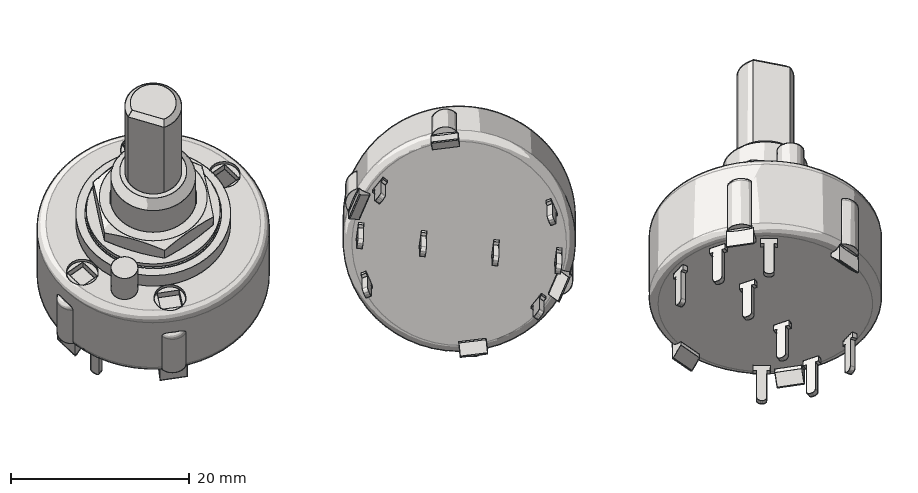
import cadquery as cq
import math

pin_shoulder_z = 4.32
body_bottom_z = 5.05
body_top_z = 15.6
flange_top_z = 17.6
washer_bottom_z = 17.68
washer_top_z = 18.2
nut_top_z = 20.6
bushing_top_z = 25.6
shaft_top_z = 38.6

body_diameter = 26.0
body_rim_radius = 1.0
cavity_diameter = body_diameter - 2 * body_rim_radius
cavity_floor_z = body_bottom_z + 1.0

flange_diameter = 17.35
flange_recess_diameter = 15.3
flange_recess_depth = 0.1
washer_diameter = 15.0
washer_seat_diameter = 10.25
nut_across_flats = 12.4
nut_bore_diameter = 9.73
nut_face_diameter = 12.1
nut_chamfer_height = 0.45
bushing_diameter = 9.5
bushing_chamfer = 1.0
shaft_diameter = 6.35
shaft_chamfer = 0.6
shaft_flat_distance = 2.35

peg_diameter = 3.0
peg_distance = 9.57
peg_top_z = 19.6

station_angles = (60, 120, 240, 300)
latch_distance = 10.42
latch_recess_diameter = 3.55
latch_recess_depth = 0.42
latch_slot_length = 2.28
latch_slot_width = 2.5
lid_thickness = 1.3
rib_distance = 11.93
rib_radius = 1.7
rib_bottom_z = 5.65
rib_top_z = 12.55
rib_rounding = 0.55
foot_face_distance = 12.78
foot_width = 3.1
foot_bottom_z = 3.35
foot_tip_thickness = 0.15
foot_thickness = 1.3
foot_slope_height = 1.2

outer_pin_angles = (15, 45, 75, 195, 225, 255)
outer_pin_circle_radius = 11.2
common_pin_angles = (45, 225)
common_pin_circle_radius = 4.1
pin_width = 1.15
pin_thickness = 0.6
pin_shoulder_width = 1.93
pin_tip_rounding = 0.45


def disc(diameter, bottom_z, top_z):
    return cq.Workplane("XY").workplane(offset=bottom_z).circle(diameter / 2).extrude(top_z - bottom_z)


def at_angle(shape, angle):
    """Turn a shape built on the +X axis about the shaft axis."""
    return shape.rotate((0, 0, 0), (0, 0, 1), angle)


def make_housing():
    drum = disc(body_diameter, body_bottom_z, body_top_z).edges().fillet(body_rim_radius)
    flange = disc(flange_diameter, body_top_z, flange_top_z)
    recess = disc(flange_recess_diameter, flange_top_z - flange_recess_depth, flange_top_z)
    peg = disc(peg_diameter, body_top_z, peg_top_z).translate((0, -peg_distance, 0))
    return drum.union(flange.cut(recess)).union(peg)


def make_nut():
    across_corners = nut_across_flats / math.cos(math.pi / 6)
    height = nut_top_z - washer_top_z
    hexagon = cq.Workplane("XY").workplane(offset=washer_top_z).polygon(6, across_corners).extrude(height)
    corner_setback = (across_corners - nut_face_diameter) / 2
    envelope = (
        cq.Workplane("XZ")
        .moveTo(0, washer_top_z)
        .lineTo(nut_face_diameter / 2, washer_top_z)
        .line(corner_setback, nut_chamfer_height)
        .lineTo(across_corners / 2, nut_top_z - nut_chamfer_height)
        .line(-corner_setback, nut_chamfer_height)
        .lineTo(0, nut_top_z)
        .close()
        .revolve(360, (0, 0, 0), (0, 1, 0))
    )
    return hexagon.intersect(envelope).cut(disc(nut_bore_diameter, washer_top_z, nut_top_z))


def make_mounting_stack():
    seat = disc(washer_seat_diameter, flange_top_z - flange_recess_depth, washer_bottom_z)
    washer = disc(washer_diameter, washer_bottom_z, washer_top_z)
    bushing = disc(bushing_diameter, washer_top_z, bushing_top_z).faces(">Z").chamfer(bushing_chamfer)
    bore = disc(shaft_diameter, washer_top_z, bushing_top_z)
    return seat.union(washer).union(make_nut()).union(bushing.cut(bore))


def make_shaft():
    """D-shaped shaft whose flat leaves a crescent gap inside the bushing bore."""
    flat_cut = (
        cq.Workplane("XY")
        .box(shaft_diameter, shaft_diameter, shaft_top_z - washer_top_z, centered=(True, False, False))
        .translate((0, -shaft_flat_distance - shaft_diameter, washer_top_z))
    )
    return disc(shaft_diameter, washer_top_z, shaft_top_z).cut(flat_cut).faces(">Z").chamfer(shaft_chamfer)


def make_rib():
    post = disc(2 * rib_radius, rib_bottom_z, rib_top_z)
    return post.faces(">Z").edges().fillet(rib_rounding).translate((rib_distance, 0, 0))


def make_foot():
    inner = foot_face_distance - foot_thickness
    return (
        cq.Workplane("XZ")
        .moveTo(foot_face_distance, rib_bottom_z)
        .lineTo(foot_face_distance, foot_bottom_z)
        .lineTo(foot_face_distance - foot_tip_thickness, foot_bottom_z)
        .lineTo(inner, foot_bottom_z + foot_slope_height)
        .lineTo(inner, rib_bottom_z)
        .close()
        .extrude(foot_width / 2, both=True)
    )


def make_latch_opening():
    recess = disc(latch_recess_diameter, body_top_z - latch_recess_depth, body_top_z)
    slot = (
        cq.Workplane("XY")
        .workplane(offset=body_top_z - lid_thickness)
        .rect(latch_slot_length, latch_slot_width)
        .extrude(lid_thickness)
    )
    return recess.union(slot).translate((latch_distance, 0, 0))


def make_pin():
    blade = (
        cq.Workplane("XY")
        .box(pin_thickness, pin_width, pin_shoulder_z, centered=(True, True, False))
        .faces("<Z")
        .edges("|X")
        .fillet(pin_tip_rounding)
    )
    shoulder = (
        cq.Workplane("XY")
        .workplane(offset=pin_shoulder_z)
        .rect(pin_thickness, pin_shoulder_width)
        .extrude(body_bottom_z - pin_shoulder_z)
    )
    return blade.union(shoulder)


def make_pin_ring(angles, circle_radius):
    ring = cq.Workplane("XY")
    for angle in angles:
        ring = ring.union(at_angle(make_pin().translate((circle_radius, 0, 0)), angle))
    return ring


result = make_housing()
for angle in station_angles:
    result = result.union(at_angle(make_rib(), angle))
    result = result.union(at_angle(make_foot(), angle))

result = result.cut(disc(cavity_diameter, cavity_floor_z, body_top_z - lid_thickness))
for angle in station_angles:
    result = result.cut(at_angle(make_latch_opening(), angle))

result = result.union(make_mounting_stack())
result = result.union(make_shaft())
result = result.union(make_pin_ring(outer_pin_angles, outer_pin_circle_radius))
result = result.union(make_pin_ring(common_pin_angles, common_pin_circle_radius))